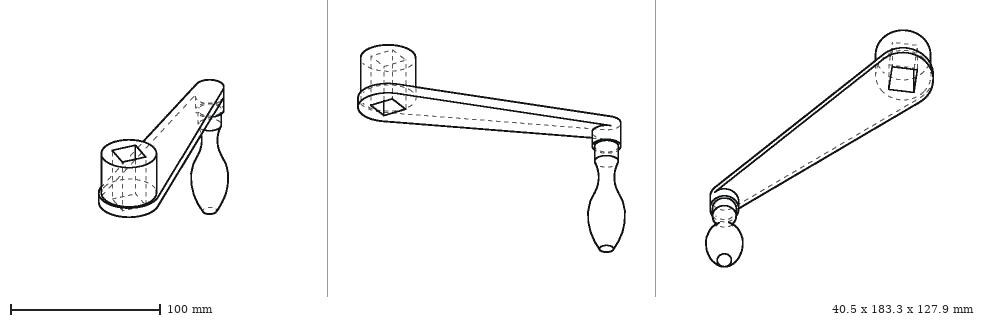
import cadquery as cq
import math

overall_length = 183.3
hub_radius = 40.5 / 2
arm_end_radius = 19.2 / 2
arm_thickness = 7.1

boss_diameter = 37.0
boss_height = 30.5
socket_side = 17.0

stem_length = 10.6
collar_radius = 16.0 / 2
collar_length = 11.5
neck_radius = 5.3
neck_length = 24.4
grip_radius = 25.1 / 2
grip_upper_length = 16.3
grip_lower_length = 26.0
tip_radius = 4.8
tip_height = 1.5

handle_y = overall_length - hub_radius - grip_radius
stem_bottom = -stem_length
collar_bottom = stem_bottom - collar_length
neck_middle = collar_bottom - neck_length / 2
neck_bottom = collar_bottom - neck_length
grip_widest = neck_bottom - grip_upper_length
tip_top = grip_widest - grip_lower_length
tip_bottom = tip_top - tip_height


def make_arm():
    """Flat arm whose straight sides are tangent to both round ends."""
    side_sine = (hub_radius - arm_end_radius) / handle_y
    side_cosine = math.sqrt(1 - side_sine**2)
    hub_x = hub_radius * side_cosine
    hub_y = hub_radius * side_sine
    end_x = arm_end_radius * side_cosine
    end_y = handle_y + arm_end_radius * side_sine
    return (
        cq.Workplane("XY")
        .moveTo(hub_x, hub_y)
        .lineTo(end_x, end_y)
        .threePointArc((0, handle_y + arm_end_radius), (-end_x, end_y))
        .lineTo(-hub_x, hub_y)
        .threePointArc((0, -hub_radius), (hub_x, hub_y))
        .close()
        .extrude(arm_thickness)
    )


def make_boss():
    return (
        cq.Workplane("XY")
        .circle(boss_diameter / 2)
        .extrude(arm_thickness + boss_height)
    )


def make_socket():
    """Square through hole with its corners on the X and Y axes."""
    return (
        cq.Workplane("XY")
        .rect(socket_side, socket_side)
        .extrude(arm_thickness + boss_height)
        .rotate((0, 0, 0), (0, 0, 1), 45)
    )


def tip_arc_point():
    """Halfway point of the tip dome, which is level on the handle axis."""
    dome_radius = (tip_radius**2 + tip_height**2) / (2 * tip_height)
    half_angle = math.asin(tip_radius / dome_radius) / 2
    return (
        dome_radius * math.sin(half_angle),
        tip_bottom + dome_radius * (1 - math.cos(half_angle)),
    )


def make_handle():
    """Revolved stem, collar, waisted neck, bulging grip and domed tip."""
    grip_start_direction = (2 * (grip_radius - collar_radius), -grip_upper_length)
    grip_widest_direction = (0, -1)
    grip_end_direction = (-2 * (grip_radius - tip_radius), -grip_lower_length)
    return (
        cq.Workplane("XZ")
        .moveTo(0, arm_thickness)
        .lineTo(arm_end_radius, arm_thickness)
        .lineTo(arm_end_radius, stem_bottom)
        .lineTo(collar_radius, stem_bottom)
        .lineTo(collar_radius, collar_bottom)
        .threePointArc((neck_radius, neck_middle), (collar_radius, neck_bottom))
        .spline(
            [(grip_radius, grip_widest), (tip_radius, tip_top)],
            tangents=[grip_start_direction, grip_widest_direction, grip_end_direction],
            includeCurrent=True,
        )
        .threePointArc(tip_arc_point(), (0, tip_bottom))
        .close()
        .revolve(360, (0, 0, 0), (0, 1, 0))
        .translate((0, handle_y, 0))
    )


result = make_arm().union(make_boss()).union(make_handle()).cut(make_socket())